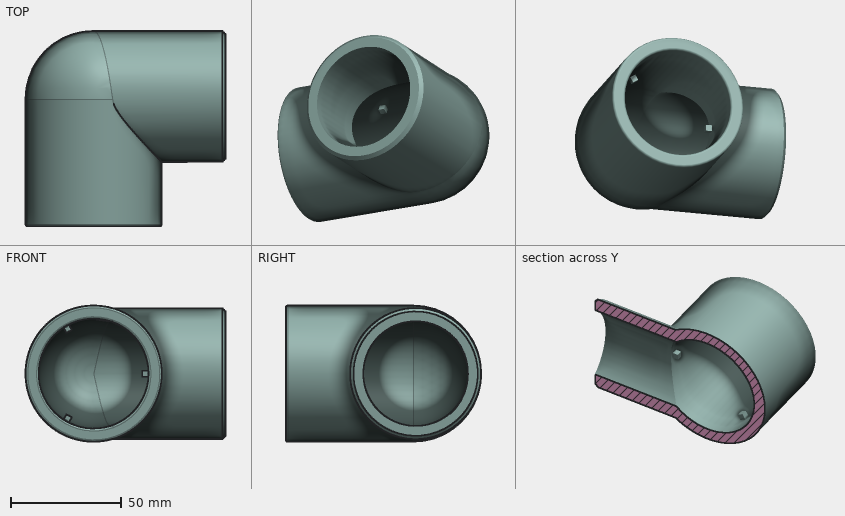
import cadquery as cq

socket_outer_diameter = 62.0
socket_bore_diameter = 50.0
branch_outer_diameter = 59.6
branch_bore_diameter = 47.6
overall_x = 91.0
overall_y = 88.8

socket_rim_radius = 1.0
branch_rim_chamfer = 1.55

stop_count = 3
stop_size = 2.8
stop_depth = 31.0
stop_overlap = 0.9

dome_radius = socket_outer_diameter / 2
socket_length = overall_y - dome_radius
branch_length = overall_x - dome_radius
branch_offset = dome_radius - branch_outer_diameter / 2


def domed_cylinder(diameter, length):
    """Cylinder from the origin along -Y, closed by a half ball on the +Y side."""
    radius = diameter / 2
    diagonal = radius * 0.5 ** 0.5
    return (
        cq.Workplane("XY")
        .moveTo(0, -length)
        .lineTo(radius, -length)
        .lineTo(radius, 0)
        .threePointArc((diagonal, diagonal), (0, radius))
        .close()
        .revolve(360, (0, 0, 0), (0, 1, 0))
    )


def branch_cylinder(diameter):
    """Cylinder along +X on the axis of the branch leg."""
    return (
        cq.Workplane("YZ")
        .center(branch_offset, 0)
        .circle(diameter / 2)
        .extrude(branch_length)
    )


def pipe_stop(angle):
    """Square stop on the socket wall, turned by angle about the socket axis."""
    height = stop_size + stop_overlap
    center_x = socket_bore_diameter / 2 - stop_size + height / 2
    center_y = -socket_length + stop_depth + stop_size / 2
    return (
        cq.Workplane("XY")
        .box(height, stop_size, stop_size)
        .translate((center_x, center_y, 0))
        .rotate((0, 0, 0), (0, 1, 0), angle)
    )


socket_leg = domed_cylinder(socket_outer_diameter, socket_length)
branch_leg = branch_cylinder(branch_outer_diameter).faces(">X").chamfer(branch_rim_chamfer)
body = socket_leg.union(branch_leg)

body = body.cut(domed_cylinder(socket_bore_diameter, socket_length))
body = body.cut(branch_cylinder(branch_bore_diameter))

body = body.faces("<Y").edges().fillet(socket_rim_radius)

for index in range(stop_count):
    body = body.union(pipe_stop(index * 360 / stop_count))

result = body